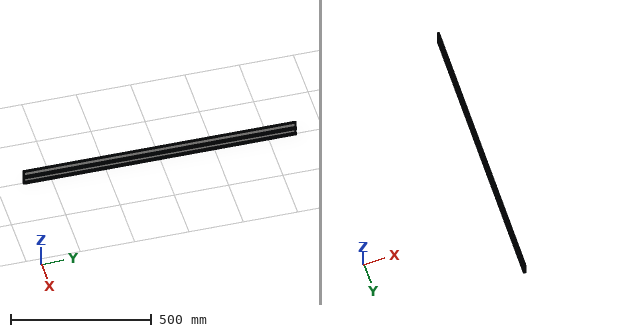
import cadquery as cq

length = 1000.0
height = 54.0
depth = 6.6

plate_thickness = 3.5
rib_thickness = 1.5
rib_spacing = 5.0
rib_pair_center = 2.0
lip_height = 5.0

back_x = -depth / 2
bottom_z = -height / 2


def strip(thickness, strip_height, center_z):
    """Full-length bar starting at the flat -X face."""
    return cq.Workplane("XY").box(thickness, length, strip_height).translate(
        (back_x + thickness / 2, 0, center_z)
    )


result = strip(plate_thickness, height, 0)

for side in (-1, 1):
    rib_z = rib_pair_center + side * rib_spacing / 2
    result = result.union(strip(depth, rib_thickness, rib_z))

result = result.union(strip(depth, lip_height, bottom_z + lip_height / 2))